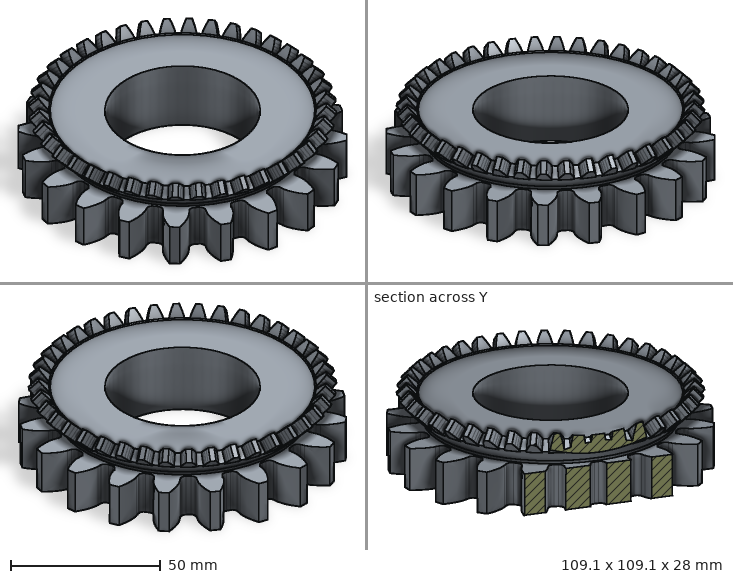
import cadquery as cq
import math

bore_diameter = 52.0
pressure_angle = math.radians(20)
flank_points = 7

spur_teeth = 20
spur_tip_diameter = 110.0
spur_height = 15.0
spur_root_fillet = 2.0
spur_dedendum_ratio = 1.25

bevel_teeth = 40
bevel_tip_diameter = 103.0
total_height = 28.0
face_width = 4.7
collar_diameter = 85.6
disc_recess = 0.4
tooth_embed = 1.0

spur_module = spur_tip_diameter / (spur_teeth + 2)
spur_tip_radius = spur_tip_diameter / 2
spur_pitch_radius = spur_tip_radius - spur_module
spur_base_radius = spur_pitch_radius * math.cos(pressure_angle)
spur_root_radius = spur_pitch_radius - spur_dedendum_ratio * spur_module

cone_cos = math.cos(math.radians(45))
bevel_module = bevel_tip_diameter / (bevel_teeth + 2 * cone_cos)
bevel_tooth_depth = 2 * bevel_module
equivalent_teeth = bevel_teeth / cone_cos
equivalent_pitch_radius = bevel_module * equivalent_teeth / 2
equivalent_tip_radius = equivalent_pitch_radius + bevel_module
equivalent_root_radius = equivalent_tip_radius - bevel_tooth_depth

bevel_tip_radius = bevel_tip_diameter / 2
bevel_tip_height = total_height - face_width * cone_cos


def involute(angle):
    return math.tan(angle) - angle


def half_tooth_angle(radius, pitch_radius, teeth):
    """Half the angle that an involute tooth spans at the given radius."""
    base_radius = pitch_radius * math.cos(pressure_angle)
    angle_at_radius = math.acos(min(1.0, base_radius / radius))
    return math.pi / (2 * teeth) + involute(pressure_angle) - involute(angle_at_radius)


def involute_flank(start_radius, tip_radius, pitch_radius, teeth):
    """Points from foot to tip on one flank of a tooth lying along +X."""
    points = []
    for i in range(flank_points):
        travel = (i / (flank_points - 1)) ** 2
        radius = start_radius + (tip_radius - start_radius) * travel
        angle = half_tooth_angle(radius, pitch_radius, teeth)
        points.append((radius * math.cos(angle), radius * math.sin(angle)))
    return points


def mirrored(points):
    return [(x, -y) for x, y in reversed(points)]


def with_teeth(body, tooth, count, first_angle):
    """Add equally spaced copies of a tooth around the Z axis."""
    for i in range(count):
        angle = first_angle + i * 360 / count
        body = body.union(tooth.rotate((0, 0, 0), (0, 0, 1), angle))
    return body


def spur_gear():
    flank = involute_flank(spur_base_radius, spur_tip_radius, spur_pitch_radius, spur_teeth)
    opposite_flank = mirrored(flank)
    foot_x = spur_root_radius - spur_module
    foot_half_width = flank[0][1]
    flank_tangents = [(1, 0)] + [None] * (flank_points - 1)
    opposite_tangents = [None] * (flank_points - 1) + [(-1, 0)]
    tooth = (
        cq.Workplane("XY")
        .moveTo(foot_x, foot_half_width)
        .lineTo(*flank[0])
        .spline(flank[1:], tangents=flank_tangents, includeCurrent=True)
        .threePointArc((spur_tip_radius, 0), opposite_flank[0])
        .spline(opposite_flank[1:], tangents=opposite_tangents, includeCurrent=True)
        .lineTo(foot_x, -foot_half_width)
        .close()
        .extrude(spur_height)
    )
    root_disc = cq.Workplane("XY").circle(spur_root_radius).extrude(spur_height)
    gear = with_teeth(root_disc, tooth, spur_teeth, 180 / spur_teeth)

    def is_root_corner(edge):
        center = edge.Center()
        return math.isclose(math.hypot(center.x, center.y), spur_root_radius, abs_tol=0.1)

    root_corners = gear.edges("|Z").filter(is_root_corner)
    return root_corners.fillet(spur_root_fillet)


def bevel_blank():
    """Revolved collar, back cone, root cone and slightly recessed flat disc."""
    root_outer_radius = bevel_tip_radius - bevel_tooth_depth * cone_cos
    root_outer_height = bevel_tip_height - bevel_tooth_depth * cone_cos
    root_inner_radius = root_outer_radius - face_width * cone_cos
    root_inner_height = root_outer_height + face_width * cone_cos
    collar_radius = collar_diameter / 2
    collar_top = root_outer_height - (root_outer_radius - collar_radius)
    disc_top = root_inner_height - disc_recess
    return (
        cq.Workplane("XZ")
        .lineTo(collar_radius, 0)
        .lineTo(collar_radius, collar_top)
        .lineTo(root_outer_radius, root_outer_height)
        .lineTo(root_inner_radius, root_inner_height)
        .lineTo(root_inner_radius - disc_recess, disc_top)
        .lineTo(0, disc_top)
        .close()
        .revolve(360)
    )


def bevel_tooth():
    """Faceted tooth of constant section, extruded up and inward at 45 degrees."""
    flank = involute_flank(
        equivalent_root_radius, equivalent_tip_radius, equivalent_pitch_radius, equivalent_teeth
    )
    tip_x = flank[-1][0]
    flank = [(x - tip_x, y) for x, y in flank]
    foot_x = -bevel_tooth_depth - tooth_embed
    foot_half_width = flank[0][1]
    outline = [(foot_x, foot_half_width)] + flank
    back_face = cq.Plane(
        origin=(bevel_tip_radius, 0, bevel_tip_height),
        xDir=(1, 0, 1),
        normal=(-1, 0, 1),
    )
    return cq.Workplane(back_face).polyline(outline + mirrored(outline)).close().extrude(face_width)


bevel_gear = with_teeth(bevel_blank(), bevel_tooth(), bevel_teeth, 0)
bore = cq.Workplane("XY").circle(bore_diameter / 2).extrude(total_height)
result = spur_gear().union(bevel_gear).cut(bore)